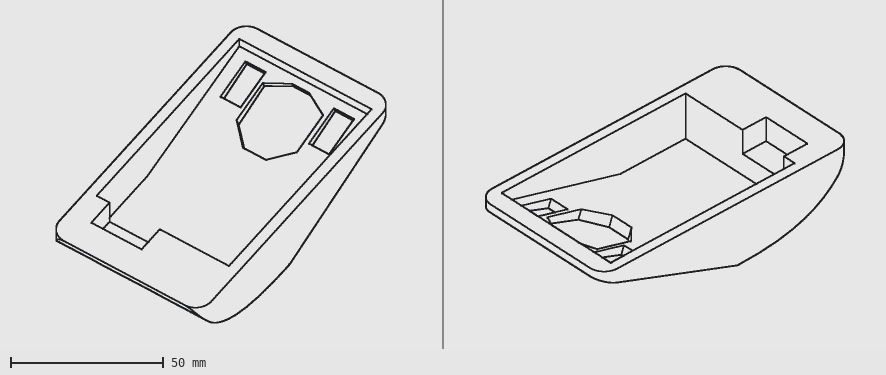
import cadquery as cq
import math

width = 60.46
length = 110.65
height = 25.0
back_y = 59.65
front_y = back_y - length
back_edge_height = 3.4
corner_radius = 6.3

nose_lower_pull = (-18.1, -height)
nose_upper_pull = (-42.3, -23.0)

side_wall = 3.9
cavity_width = width - 2 * side_wall
cavity_back_y = 52.7
cavity_front_y = -29.0
cavity_depth = 18.3
cavity_back_depth = 3.7

notch_width = 20.0
notch_length = 10.45
notch_depth = 9.7
notch_left_x = -21.2

slope_angle = math.degrees(math.atan2(height - back_edge_height, back_y))
cut_length = 30.0
slot_width = 8.0
slot_length = 14.8
slot_spacing = 35.2
slot_pair_center_x = 0.15
slot_center_up = 45.8
window_half_width = 12.0
window_bottom_up = 26.5
window_lower_corner_up = 33.8
window_upper_corner_up = 49.4
window_top_up = 53.9
window_bottom_half = 4.6
window_top_half = 3.4


def make_body():
    """Wedge with a curved nose, extruded across X and rounded at its four upright corners."""
    ridge = (0, -height)
    nose_curve = [ridge, nose_lower_pull, nose_upper_pull, (front_y, 0)]
    profile = (
        cq.Workplane("YZ", origin=(-width / 2, 0, 0))
        .moveTo(front_y, 0)
        .lineTo(back_y, 0)
        .lineTo(back_y, -back_edge_height)
        .lineTo(*ridge)
        .bezier(nose_curve)
        .close()
        .extrude(width)
    )
    rounded_block = (
        cq.Workplane("XY")
        .center(0, (back_y + front_y) / 2)
        .rect(width, length)
        .extrude(-height)
        .edges("|Z")
        .fillet(corner_radius)
    )
    return profile.intersect(rounded_block)


def make_cavity():
    """Open cavity whose floor is flat in front of the ridge line and rises behind it."""
    return (
        cq.Workplane("YZ", origin=(-cavity_width / 2, 0, 0))
        .moveTo(cavity_front_y, 0)
        .lineTo(cavity_back_y, 0)
        .lineTo(cavity_back_y, -cavity_back_depth)
        .lineTo(0, -cavity_depth)
        .lineTo(cavity_front_y, -cavity_depth)
        .close()
        .extrude(cavity_width)
    )


def make_notch():
    """Pocket that opens into the front wall of the cavity."""
    return (
        cq.Workplane("XY")
        .moveTo(notch_left_x, cavity_front_y - notch_length)
        .rect(notch_width, notch_length, centered=False)
        .extrude(-notch_depth)
    )


def sloped_underside():
    """Workplane on the sloped underside: X across, Y up the slope from the ridge line."""
    return cq.Workplane("XY", origin=(0, 0, -height)).transformed(rotate=(slope_angle, 0, 0))


def make_slots():
    """Pair of rectangular slots square to the sloped underside."""
    centers = [(slot_pair_center_x + side * slot_spacing / 2, slot_center_up) for side in (-1, 1)]
    return (
        sloped_underside()
        .pushPoints(centers)
        .rect(slot_width, slot_length)
        .extrude(cut_length)
    )


def make_window():
    """Eight-sided window square to the sloped underside."""
    right_side = [
        (window_bottom_half, window_bottom_up),
        (window_half_width, window_lower_corner_up),
        (window_half_width, window_upper_corner_up),
        (window_top_half, window_top_up),
    ]
    left_side = [(-x, up) for x, up in reversed(right_side)]
    return sloped_underside().polyline(right_side + left_side).close().extrude(cut_length)


result = make_body().cut(make_cavity()).cut(make_notch()).cut(make_slots()).cut(make_window())